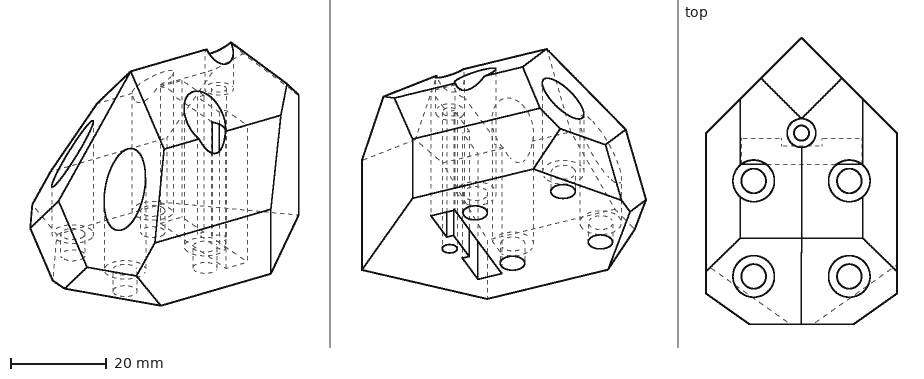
import cadquery as cq
import math

length = 60.0
width = 40.0
height = 45.0
half_width = width / 2

roof_half_width = 12.85
roof_edge_z = height - roof_half_width
side_wall_z = 15.1

front_ridge_y = 18.0
rear_ridge_y = 43.0
rear_wall_z = height - (length - rear_ridge_y)
front_pitch = math.sqrt(2)
undercut_half_width = 2.3
cutter_size = 3 * length

bolt_x = width / 4
front_bolt_y = 10.0
rear_bolt_y = 30.0
bolt_diameter = 5.1
bolt_head_diameter = 8.7
bolt_floor_z = 5.0

ridge_screw_y = 40.0
ridge_screw_diameter = 3.1
ridge_screw_head_diameter = 6.0
ridge_screw_floor_z = 35.0

pocket_half_width = 12.6
pocket_front_y = 33.55
pocket_ceiling_z = 32.0
boss_front_y = 37.4
boss_half_width = 4.2
notch_depth = 1.55


def house_body():
    """Roofed prism with a pointed rear end and a sloped rear ridge."""
    cross_section = (
        cq.Workplane("XZ")
        .polyline([
            (-half_width, 0),
            (half_width, 0),
            (half_width, side_wall_z),
            (roof_half_width, roof_edge_z),
            (0, height),
            (-roof_half_width, roof_edge_z),
            (-half_width, side_wall_z),
        ])
        .close()
        .extrude(-length)
    )
    plan = (
        cq.Workplane("XY")
        .polyline([
            (-half_width, 0),
            (half_width, 0),
            (half_width, length - half_width),
            (0, length),
            (-half_width, length - half_width),
        ])
        .close()
        .extrude(height)
    )
    side_profile = (
        cq.Workplane("YZ")
        .polyline([(0, 0), (length, 0), (length, rear_wall_z), (rear_ridge_y, height), (0, height)])
        .close()
        .extrude(half_width, both=True)
    )
    return cross_section.intersect(plan).intersect(side_profile)


def half_space(point, outward_normal):
    """Large block on the outward side of a plane."""
    plane = cq.Plane(origin=point, normal=outward_normal)
    return cq.Workplane(plane).rect(cutter_size, cutter_size).extrude(cutter_size)


def counterbored_hole(x, y, diameter, head_diameter, floor_z):
    """Vertical through hole whose counterbore opens upward from floor_z."""
    shank = cq.Workplane("XY").center(x, y).circle(diameter / 2).extrude(height)
    head = (
        cq.Workplane("XY", origin=(x, y, floor_z))
        .circle(head_diameter / 2)
        .extrude(height - floor_z)
    )
    return shank.union(head)


def bottom_pocket():
    """Stepped pocket that leaves a boss around the ridge screw."""
    rear_y = boss_front_y + notch_depth
    return (
        cq.Workplane("XY")
        .polyline([
            (-pocket_half_width, pocket_front_y),
            (pocket_half_width, pocket_front_y),
            (pocket_half_width, rear_y),
            (boss_half_width, rear_y),
            (boss_half_width, boss_front_y),
            (-boss_half_width, boss_front_y),
            (-boss_half_width, rear_y),
            (-pocket_half_width, rear_y),
        ])
        .close()
        .extrude(pocket_ceiling_z)
    )


result = house_body()

for side in (-1, 1):
    result = result.cut(half_space((0, front_ridge_y, height), (side, -front_pitch, 1)))
    result = result.cut(half_space((side * undercut_half_width, 0, 0), (side, -front_pitch, -1)))

result = result.cut(bottom_pocket())

for hole_x in (-bolt_x, bolt_x):
    for hole_y in (front_bolt_y, rear_bolt_y):
        result = result.cut(
            counterbored_hole(hole_x, hole_y, bolt_diameter, bolt_head_diameter, bolt_floor_z)
        )

result = result.cut(
    counterbored_hole(
        0, ridge_screw_y, ridge_screw_diameter, ridge_screw_head_diameter, ridge_screw_floor_z
    )
)